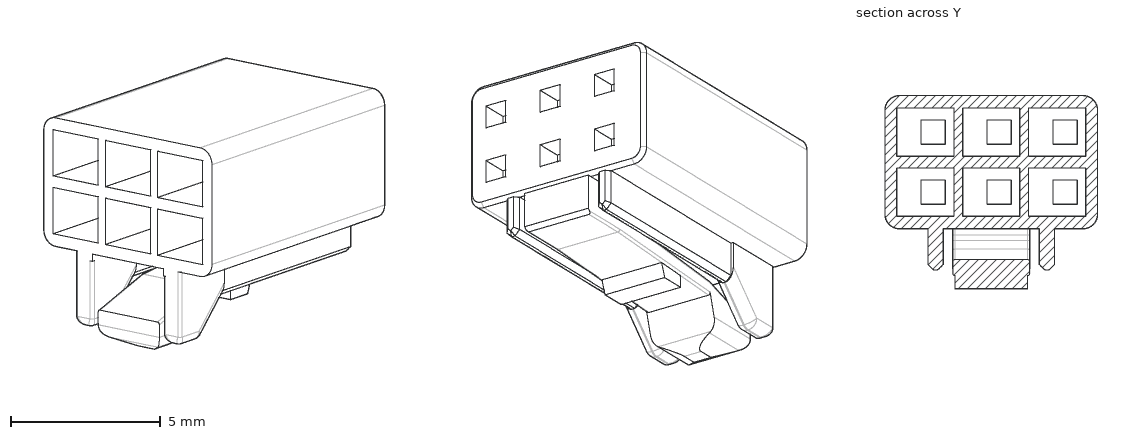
import cadquery as cq

BODY_WIDTH = 7.1
BODY_LENGTH = 9.55
BODY_HEIGHT = 4.45
OVERALL_HEIGHT = 7.65
BODY_CORNER_RADIUS = 0.5
BACK_CHAMFER = 0.15

COLUMNS = 3
ROWS = 2
COLUMN_PITCH = 2.2
ROW_PITCH = 2.0
CAVITY_WIDTH = 1.9
CAVITY_HEIGHT = 1.6
BACK_WALL = 1.0
WINDOW_SIZE = 0.8
WINDOW_OFFSET_X = 0.26

RAIL_DEPTH = 1.37
LEG_SPACING = 3.71
LEG_WIDTH = 0.72
LEG_DEPTH = 2.6
LEG_LENGTH = 2.39
LEG_TIP_RADIUS = 0.34
LEG_FRONT_RADIUS = 0.1
LEG_SQUARE_CORNER_HEIGHT = 0.25
RIB_INSET = 0.1
RIB_WIDTH = LEG_WIDTH - 2 * RIB_INSET
RIB_CHAMFER = 0.19

LATCH_WIDTH = 2.58
LATCH_BOTTOM = BODY_HEIGHT - OVERALL_HEIGHT
LATCH_SETBACK = 0.05
LATCH_TOP_OVERLAP = 0.2
BEAM_EDGE_RADIUS = 0.08
BEAM_BOTTOM_START_Y = 7.7
BEAM_FRONT_Y = LEG_LENGTH
BEAM_FRONT_BOTTOM = -1.67
BEAM_FRONT_TOP = -1.17
BEAM_TOP_FRONT_Y = 2.4
GAP_END_Y = 8.6
GAP_HEIGHT = 0.65
GAP_UPPER_RADIUS = 0.2
GAP_LOWER_RADIUS = 0.28
HEAD_FRONT_TOP = -1.9
HEAD_BACK_LEAN = 0.44
HEAD_TAPER_RUN = 0.95
HEAD_TAPER_RISE = 0.47
HEAD_RADIUS = 0.5

CATCH_FRONT_Y = 4.02
CATCH_LENGTH = 0.94
CATCH_SLOPE_RUN = 0.2
CATCH_BOTTOM = -2.0
CATCH_TOP = -1.45


def block(x_min, x_max, y_min, y_max, z_min, z_max):
    size = (x_max - x_min, y_max - y_min, z_max - z_min)
    return cq.Workplane("XY").box(*size, centered=False).translate((x_min, y_min, z_min))


def side_profile(points, width):
    """Extrude a closed (Y, Z) outline symmetrically about X = 0."""
    return cq.Workplane("YZ").polyline(points).close().extrude(width / 2, both=True)


def edge_along_x(solid, y, z):
    """Select the edge parallel to X that passes closest to (y, z)."""
    return solid.edges("|X").edges(cq.selectors.NearestToPointSelector((0, y, z)))


def make_body():
    body = block(-BODY_WIDTH / 2, BODY_WIDTH / 2, 0, BODY_LENGTH, 0, BODY_HEIGHT)
    body = body.edges("|Y").fillet(BODY_CORNER_RADIUS)
    return body.faces(">Y").chamfer(BACK_CHAMFER)


def make_cavities():
    column_centres = [(column - (COLUMNS - 1) / 2) * COLUMN_PITCH for column in range(COLUMNS)]
    row_centres = [BODY_HEIGHT / 2 + (row - (ROWS - 1) / 2) * ROW_PITCH for row in range(ROWS)]
    centres = [(x, z) for x in column_centres for z in row_centres]
    plane = cq.Workplane("XZ")
    cavities = plane.pushPoints(centres).rect(CAVITY_WIDTH, CAVITY_HEIGHT).extrude(BACK_WALL - BODY_LENGTH)
    window_centres = [(x + WINDOW_OFFSET_X, z) for x, z in centres]
    windows = plane.pushPoints(window_centres).rect(WINDOW_SIZE, WINDOW_SIZE).extrude(-BODY_LENGTH)
    return cavities.union(windows)


def make_leg():
    """Guard leg centred on X = 0, with the latch on its +X side."""
    flat_length = LEG_LENGTH - (LEG_DEPTH - RAIL_DEPTH)
    outline = [
        (0, 0),
        (LEG_LENGTH, 0),
        (LEG_LENGTH, -RAIL_DEPTH),
        (flat_length, -LEG_DEPTH),
        (0, -LEG_DEPTH),
    ]
    leg = side_profile(outline, LEG_WIDTH)
    leg = leg.faces("<Y").edges("|Z").fillet(LEG_FRONT_RADIUS)
    tip = cq.selectors.BoxSelector((-LEG_WIDTH, 0, -LEG_DEPTH), (LEG_WIDTH, LEG_LENGTH, -RAIL_DEPTH))
    rib_joint = cq.selectors.BoxSelector((-LEG_WIDTH, LEG_LENGTH, -LEG_DEPTH), (LEG_WIDTH, BODY_LENGTH, 0))
    upright = cq.selectors.ParallelDirSelector(cq.Vector(0, 0, 1))
    leg = leg.edges(tip - rib_joint - upright).fillet(LEG_TIP_RADIUS)
    square_corner = block(
        LEG_WIDTH / 2 - LEG_FRONT_RADIUS, LEG_WIDTH / 2, 0, LEG_FRONT_RADIUS, -LEG_SQUARE_CORNER_HEIGHT, 0
    )
    return leg.union(square_corner)


def make_rib():
    rib = block(-RIB_WIDTH / 2, RIB_WIDTH / 2, LEG_LENGTH, BODY_LENGTH, -RAIL_DEPTH, 0)
    rib = rib.faces("<Z").edges("|Y").chamfer(RIB_CHAMFER)
    return rib.faces(">Y").edges("not >Z").chamfer(BACK_CHAMFER)


def make_guard():
    return make_leg().union(make_rib()).translate((-LEG_SPACING / 2, 0, 0))


def round_beam_edges(latch):
    """Round the long side edges along the top of the beam, around the gap, and along its bottom."""
    side_edges = latch.faces("<X or >X").edges()
    head_slope = cq.selectors.BoxSelector(
        (-BODY_WIDTH, LATCH_SETBACK, HEAD_FRONT_TOP), (BODY_WIDTH, BEAM_TOP_FRONT_Y, BEAM_FRONT_TOP)
    )
    gap_outline = cq.selectors.BoxSelector(
        (-BODY_WIDTH, BEAM_TOP_FRONT_Y, BEAM_FRONT_TOP), (BODY_WIDTH, GAP_END_Y + GAP_UPPER_RADIUS, 0)
    )
    beam_bottom = cq.selectors.BoxSelector(
        (-BODY_WIDTH, BEAM_FRONT_Y, BEAM_FRONT_BOTTOM), (BODY_WIDTH, BEAM_BOTTOM_START_Y, -RAIL_DEPTH)
    )
    return side_edges.edges(head_slope + gap_outline + beam_bottom).fillet(BEAM_EDGE_RADIUS)


def make_latch():
    taper_top = LATCH_BOTTOM + HEAD_TAPER_RISE
    head_back_y = BEAM_FRONT_Y - HEAD_BACK_LEAN
    gap_top_y = GAP_END_Y - GAP_UPPER_RADIUS
    latch = (
        cq.Workplane("YZ")
        .moveTo(LATCH_SETBACK, HEAD_FRONT_TOP)
        .lineTo(BEAM_TOP_FRONT_Y, BEAM_FRONT_TOP)
        .lineTo(GAP_END_Y, -GAP_HEIGHT)
        .lineTo(GAP_END_Y, -GAP_UPPER_RADIUS)
        .radiusArc((gap_top_y, 0), -GAP_UPPER_RADIUS)
        .lineTo(gap_top_y, LATCH_TOP_OVERLAP)
        .lineTo(BODY_LENGTH - BACK_CHAMFER, LATCH_TOP_OVERLAP)
        .lineTo(BODY_LENGTH - BACK_CHAMFER, 0)
        .lineTo(BODY_LENGTH, 0)
        .lineTo(BODY_LENGTH, BACK_CHAMFER - RAIL_DEPTH)
        .lineTo(BODY_LENGTH - BACK_CHAMFER, -RAIL_DEPTH)
        .lineTo(BEAM_BOTTOM_START_Y, -RAIL_DEPTH)
        .lineTo(BEAM_FRONT_Y, BEAM_FRONT_BOTTOM)
        .lineTo(head_back_y, LATCH_BOTTOM)
        .lineTo(LATCH_SETBACK + HEAD_TAPER_RUN, LATCH_BOTTOM)
        .lineTo(LATCH_SETBACK, taper_top)
        .close()
        .extrude(LATCH_WIDTH / 2, both=True)
    )
    latch = edge_along_x(latch, LATCH_SETBACK, taper_top).fillet(HEAD_RADIUS)
    latch = edge_along_x(latch, head_back_y, LATCH_BOTTOM).fillet(HEAD_RADIUS)
    latch = edge_along_x(latch, GAP_END_Y, -GAP_HEIGHT).fillet(GAP_LOWER_RADIUS)
    return round_beam_edges(latch).intersect(make_latch_envelope())


def make_latch_envelope():
    """Prism along Y whose lower end gives the head its tapered, rounded sides."""
    half_width = LATCH_WIDTH / 2
    flat_half_width = half_width - HEAD_TAPER_RUN
    taper_top = LATCH_BOTTOM + HEAD_TAPER_RISE
    outline = [
        (-half_width, LATCH_TOP_OVERLAP),
        (half_width, LATCH_TOP_OVERLAP),
        (half_width, taper_top),
        (flat_half_width, LATCH_BOTTOM),
        (-flat_half_width, LATCH_BOTTOM),
        (-half_width, taper_top),
    ]
    envelope = cq.Workplane("XZ").polyline(outline).close().extrude(-BODY_LENGTH)
    for side in (-1, 1):
        shoulder = cq.selectors.NearestToPointSelector((side * half_width, BODY_LENGTH / 2, taper_top))
        envelope = envelope.edges("|Y").edges(shoulder).fillet(HEAD_RADIUS)
    return envelope


def make_catch():
    outline = [
        (CATCH_FRONT_Y, CATCH_TOP),
        (CATCH_FRONT_Y, CATCH_BOTTOM),
        (CATCH_FRONT_Y + CATCH_LENGTH, CATCH_BOTTOM),
        (CATCH_FRONT_Y + CATCH_LENGTH + CATCH_SLOPE_RUN, CATCH_TOP),
    ]
    return side_profile(outline, LATCH_WIDTH - 2 * BEAM_EDGE_RADIUS)


guard = make_guard()
result = make_body().cut(make_cavities())
result = result.union(guard).union(guard.mirror("YZ"))
result = result.union(make_latch()).union(make_catch())